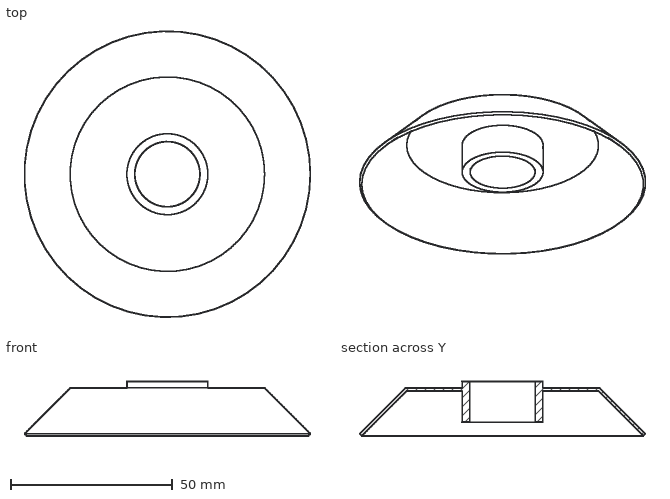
import cadquery as cq
import math

rim_diameter = 88.3
collar_diameter = 25.0
bore_diameter = 20.0
total_height = 16.9
collar_height = 2.0
collar_length = 12.5
wall_thickness = 1.0
skirt_angle = math.radians(45)

rim_radius = rim_diameter / 2
collar_radius = collar_diameter / 2
bore_radius = bore_diameter / 2
shoulder_height = total_height - collar_height
ceiling_height = shoulder_height - wall_thickness
collar_base_height = total_height - collar_length

edge_height = wall_thickness * math.cos(skirt_angle)
edge_inset = wall_thickness * math.sin(skirt_angle)
inner_rim_radius = rim_radius - edge_inset
top_radius = rim_radius - (shoulder_height - edge_height) / math.tan(skirt_angle)
ceiling_radius = inner_rim_radius - ceiling_height / math.tan(skirt_angle)

half_section = (
    cq.Workplane("XZ")
    .moveTo(bore_radius, collar_base_height)
    .lineTo(collar_radius, collar_base_height)
    .lineTo(collar_radius, ceiling_height)
    .lineTo(ceiling_radius, ceiling_height)
    .lineTo(inner_rim_radius, 0)
    .lineTo(rim_radius, edge_height)
    .lineTo(top_radius, shoulder_height)
    .lineTo(collar_radius, shoulder_height)
    .lineTo(collar_radius, total_height)
    .lineTo(bore_radius, total_height)
    .close()
)

result = half_section.revolve(360, (0, 0, 0), (0, 1, 0))